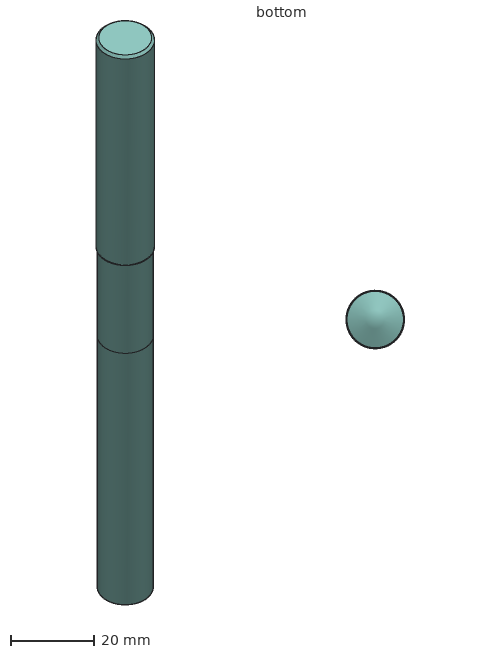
import cadquery as cq
import math

total_length = 176.0
shank_diameter = 14.0
shank_length = 66.0
shank_chamfer = 0.7
cutting_diameter = 13.5
cutting_length = 82.0
point_angle = 140.0

shank_radius = shank_diameter / 2
cutting_radius = cutting_diameter / 2
shank_bottom = total_length - shank_length
point_height = cutting_radius / math.tan(math.radians(point_angle / 2))


def revolve_profile(points):
    """Revolve a closed (radius, height) profile once around the Z axis."""
    return cq.Workplane("XZ").polyline(points).close().revolve(360, (0, 0), (0, 1))


def make_cutting_body():
    """Cylinder ending in a conical drill point."""
    return revolve_profile([
        (0, 0),
        (cutting_radius, point_height),
        (cutting_radius, cutting_length),
        (0, cutting_length),
    ])


def make_shank():
    """Neck standing on the cutting body, stepping out to the chamfered shank."""
    return revolve_profile([
        (0, cutting_length),
        (cutting_radius, cutting_length),
        (cutting_radius, shank_bottom),
        (shank_radius, shank_bottom),
        (shank_radius, total_length - shank_chamfer),
        (shank_radius - shank_chamfer, total_length),
        (0, total_length),
    ])


cutting_body = make_cutting_body()
shank = make_shank()

result = cq.Compound.makeCompound([cutting_body.val(), shank.val()])